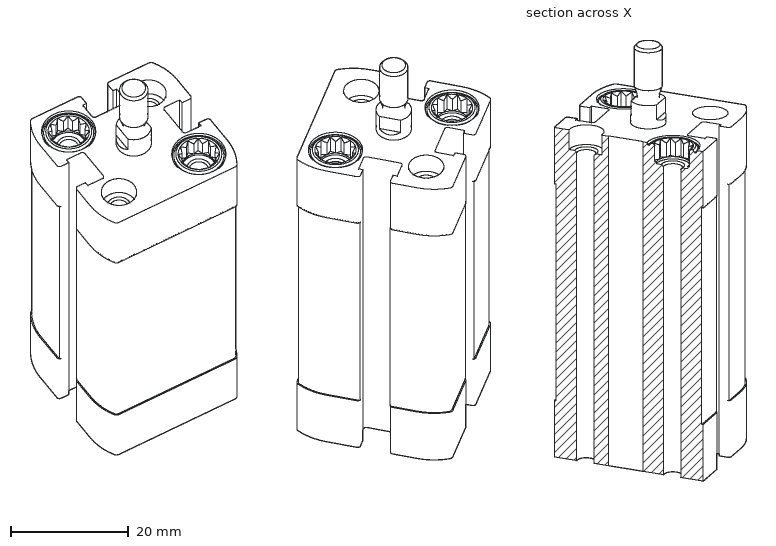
import cadquery as cq
import math

width = 27.5
housing_height = 60.4
cap_height = 10.4
barrel_inset = 0.22
side_arc_start = 8.0
side_arc_radius = 10.7
corner_fillet = 0.8

slot_offset = 0.55
slot_mouth_width = 5.3
slot_inner_width = 6.8
slot_floor = 8.3
slot_lip = 11.7
slot_floor_fillet = 0.5
slot_mouth_round = 0.5

hole_pitch = 16.0
hole_diameter = 3.24
hole_chamfer_diameter = 3.97
counterbore_diameter = 6.0
counterbore_depth = 3.6

collar_rim_diameter = 9.2
collar_groove_diameter = 9.0
collar_base_diameter = 8.5
collar_top_diameter = 7.8
collar_groove_depth = 0.45
spline_teeth = 12
spline_depth = 3.2
spline_inner_radius = 2.88
spline_outer_radius = 3.5
spline_chamfer = spline_outer_radius - spline_inner_radius

rod_length = 14.2
rod_diameter = 6.0
rod_shoulder = 4.25
flat_spacing = 4.7
flat_bottom = 1.55
flat_runout = 0.43
neck_diameter = 3.8
neck_foot_fillet = 0.35
neck_top = 5.2
neck_step_height = 0.2
neck_step_diameter = 3.92
thread_diameter = 4.83
thread_start = 6.75
thread_end_diameter = 4.0
thread_chamfer_height = 0.5

cut_margin = 1.0
half_width = width / 2
housing_top = housing_height
counterbore_floor = housing_top - counterbore_depth


def housing_slab(inset, height):
    """Square slab with bowed corners along the Y sides, pulled in by inset."""
    side = half_width - inset
    radius = side_arc_radius - inset
    arc_centre = side - radius
    corner_angle = math.acos((side - side_arc_start) / radius)
    middle_angle = (corner_angle + math.pi / 2) / 2
    corner_y = arc_centre + radius * math.sin(corner_angle)
    middle_x = side_arc_start + radius * math.cos(middle_angle)
    middle_y = arc_centre + radius * math.sin(middle_angle)
    slab = (
        cq.Workplane("XY")
        .moveTo(-side_arc_start, side)
        .lineTo(side_arc_start, side)
        .threePointArc((middle_x, middle_y), (side, corner_y))
        .lineTo(side, -corner_y)
        .threePointArc((middle_x, -middle_y), (side_arc_start, -side))
        .lineTo(-side_arc_start, -side)
        .threePointArc((-middle_x, -middle_y), (-side, -corner_y))
        .lineTo(-side, corner_y)
        .threePointArc((-middle_x, middle_y), (-side_arc_start, side))
        .close()
        .extrude(height)
    )
    return slab.edges("|Z").edges(">X or <X").fillet(corner_fillet)


def slot_cutter(height, rounded_mouth):
    """T-slot opening toward +Y, centred on X = 0."""
    inner = (
        cq.Workplane("XY")
        .moveTo(0, (slot_floor + slot_lip) / 2)
        .rect(slot_inner_width, slot_lip - slot_floor)
        .extrude(height)
        .edges("|Z and <Y")
        .fillet(slot_floor_fillet)
    )
    mouth_end = half_width + cut_margin
    mouth = (
        cq.Workplane("XY")
        .moveTo(0, (slot_floor + mouth_end) / 2)
        .rect(slot_mouth_width, mouth_end - slot_floor)
        .extrude(height)
    )
    cutter = inner.union(mouth)
    if rounded_mouth:
        cutter = cutter.union(mouth_flare(height))
    return cutter


def mouth_flare(height):
    """Cutter that rounds both mouth edges of a slot."""
    half_mouth = slot_mouth_width / 2
    round_start = half_width - slot_mouth_round
    arc_point = slot_mouth_round * (1 - math.sqrt(0.5))
    return (
        cq.Workplane("XY")
        .moveTo(-half_mouth, round_start)
        .lineTo(half_mouth, round_start)
        .threePointArc((half_mouth + arc_point, half_width - arc_point),
                       (half_mouth + slot_mouth_round, half_width))
        .lineTo(-half_mouth - slot_mouth_round, half_width)
        .threePointArc((-half_mouth - arc_point, half_width - arc_point),
                       (-half_mouth, round_start))
        .close()
        .extrude(height)
    )


slot_placements = ((0, -slot_offset), (90, slot_offset), (180, -slot_offset))


def housing_section(bottom, height, inset, rounded_mouth):
    """One length of the slotted housing profile."""
    section = housing_slab(inset, height)
    slot = slot_cutter(height, rounded_mouth)
    for angle, offset in slot_placements:
        placed = slot.translate((offset, 0, 0)).rotate((0, 0, 0), (0, 0, 1), angle)
        section = section.cut(placed)
    return section.translate((0, 0, bottom))


def cone(z_bottom, diameter_bottom, z_top, diameter_top):
    """Solid cone frustum on the Z axis."""
    base = cq.Vector(0, 0, z_bottom)
    frustum = cq.Solid.makeCone(diameter_bottom / 2, diameter_top / 2, z_top - z_bottom, pnt=base)
    return cq.Workplane("XY").add(frustum)


def cylinder(z_bottom, z_top, diameter):
    """Solid cylinder on the Z axis."""
    return cq.Workplane("XY").workplane(offset=z_bottom).circle(diameter / 2).extrude(z_top - z_bottom)


def through_hole():
    """Through hole with a chamfer at the counterbore floor."""
    chamfer = (hole_chamfer_diameter - hole_diameter) / 2
    entry = cone(counterbore_floor - chamfer, hole_diameter, counterbore_floor, hole_chamfer_diameter)
    return cylinder(-cut_margin, counterbore_floor, hole_diameter).union(entry)


def plain_hole():
    """Counterbored corner hole."""
    bore = cylinder(counterbore_floor, housing_top + cut_margin, counterbore_diameter)
    return through_hole().union(bore)


def splined_hole():
    """Corner hole whose mouth is a ring groove around a splined socket."""
    groove_floor = housing_top - collar_groove_depth
    collar = cone(groove_floor, collar_base_diameter, housing_top, collar_top_diameter)
    groove = cone(groove_floor, collar_groove_diameter, housing_top, collar_rim_diameter).cut(collar)

    relief = cylinder(counterbore_floor, housing_top, 2 * spline_inner_radius)
    half_step = math.pi / spline_teeth
    star = []
    for index in range(2 * spline_teeth):
        radius = spline_inner_radius if index % 2 else spline_outer_radius
        angle = index * half_step
        star.append((radius * math.cos(angle), radius * math.sin(angle)))
    socket = (
        cq.Workplane("XY")
        .workplane(offset=housing_top - spline_depth)
        .polyline(star)
        .close()
        .extrude(spline_depth)
    )
    lead_in = cone(housing_top - spline_chamfer, 2 * spline_inner_radius, housing_top, 2 * spline_outer_radius)
    return through_hole().union(relief).union(groove).union(socket).union(lead_in)


def build_housing():
    barrel_height = housing_height - 2 * cap_height
    housing = housing_section(0, cap_height, 0, True)
    housing = housing.union(housing_section(cap_height, barrel_height, barrel_inset, False))
    housing = housing.union(housing_section(cap_height + barrel_height, cap_height, 0, True))
    reach = hole_pitch / 2
    for side in (-1, 1):
        housing = housing.cut(plain_hole().translate((side * reach, -side * reach, 0)))
        housing = housing.cut(splined_hole().translate((side * reach, side * reach, 0)))
    return housing


def rod_flat():
    """Cutter for the wrench flat on the +Y side, sloping out at its foot."""
    depth = rod_diameter / 2 - flat_spacing / 2
    slope = flat_runout / depth
    reach = depth + cut_margin
    inner = flat_spacing / 2
    return (
        cq.Workplane("YZ")
        .moveTo(inner, flat_bottom)
        .lineTo(inner + reach, flat_bottom - slope * reach)
        .lineTo(inner + reach, rod_shoulder)
        .lineTo(inner, rod_shoulder)
        .close()
        .extrude(rod_diameter, both=True)
    )


def build_rod():
    neck = neck_diameter / 2
    foot_inset = neck_foot_fillet * (1 - math.sqrt(0.5))
    rod = (
        cq.Workplane("XZ")
        .lineTo(rod_diameter / 2, 0)
        .lineTo(rod_diameter / 2, rod_shoulder)
        .lineTo(neck + neck_foot_fillet, rod_shoulder)
        .threePointArc((neck + foot_inset, rod_shoulder + foot_inset),
                       (neck, rod_shoulder + neck_foot_fillet))
        .lineTo(neck, neck_top)
        .lineTo(neck_step_diameter / 2, neck_top + neck_step_height)
        .lineTo(thread_diameter / 2, thread_start)
        .lineTo(thread_diameter / 2, rod_length - thread_chamfer_height)
        .lineTo(thread_end_diameter / 2, rod_length)
        .lineTo(0, rod_length)
        .close()
        .revolve(360, (0, 0, 0), (0, 1, 0))
    )
    flat = rod_flat()
    rod = rod.cut(flat).cut(flat.mirror("XZ"))
    return rod.translate((0, 0, housing_top))


housing = build_housing()
rod = build_rod()
result = cq.Compound.makeCompound([housing.val(), rod.val()])